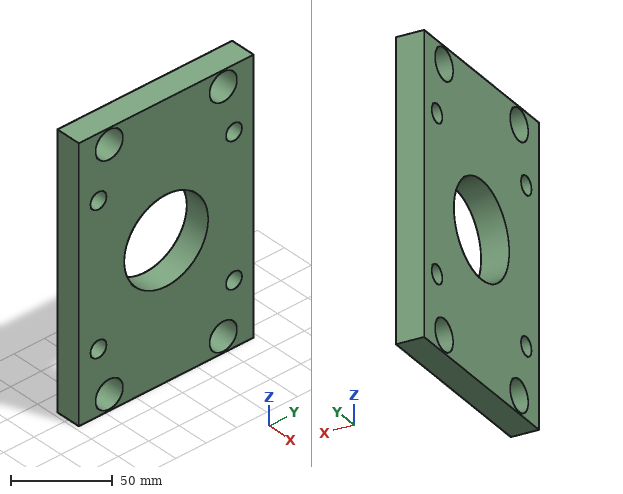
import cadquery as cq

thickness = 16.0
width = 115.0
height = 170.0

bore_diameter = 55.0
corner_hole_diameter = 18.0
corner_spacing_y = 75.0
corner_spacing_z = 2 * corner_spacing_y
small_hole_diameter = 10.5
small_hole_spacing = 89.0


def drill_rectangle(plate, spacing_y, spacing_z, diameter):
    """Drill a through hole at each corner of a rectangle centred on the plate."""
    return (
        plate.faces("<X").workplane(centerOption="CenterOfBoundBox")
        .rect(spacing_y, spacing_z, forConstruction=True)
        .vertices()
        .hole(diameter)
    )


plate = cq.Workplane("XY").box(thickness, width, height)
plate = plate.faces("<X").workplane().hole(bore_diameter)
plate = drill_rectangle(plate, corner_spacing_y, corner_spacing_z, corner_hole_diameter)
result = drill_rectangle(plate, small_hole_spacing, small_hole_spacing, small_hole_diameter)